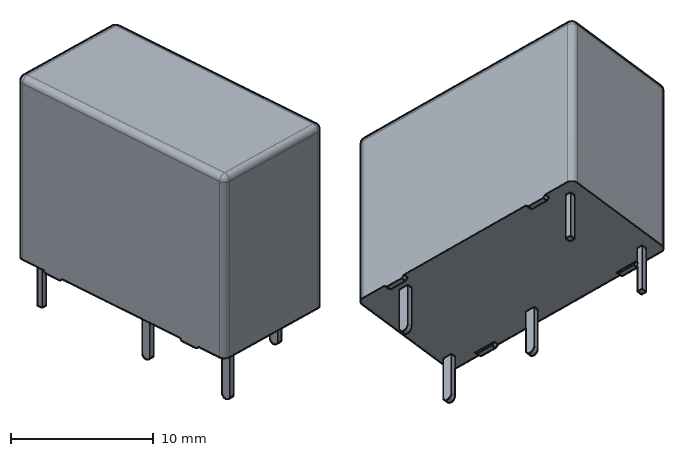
import cadquery as cq

HOUSING_LENGTH = 20.0
HOUSING_WIDTH = 10.01
HOUSING_HEIGHT = 15.0
EDGE_RADIUS = 0.5

FOOT_OFFSET = 6.58
FOOT_BOTTOM_LENGTH = 1.4
FOOT_HEIGHT = 0.2
FOOT_TOP_LENGTH = FOOT_BOTTOM_LENGTH + 2 * FOOT_HEIGHT
FOOT_THICKNESS = 0.4

PIN_LENGTH = 4.0
PIN_ROW_SPACING = 7.62
PIN_EMBED = 0.5
COIL_PIN_SIDE = 0.45
BLADE_THICKNESS = 0.4
BLADE_WIDTH = 0.77
BLADE_TIP_RADIUS = BLADE_WIDTH / 2

FRONT_ROW = -PIN_ROW_SPACING / 2
BACK_ROW = PIN_ROW_SPACING / 2
COIL_PIN_X = -8.75
CONTACT_PINS = [(1.48, FRONT_ROW), (FOOT_OFFSET, BACK_ROW), (9.18, FRONT_ROW)]


def make_housing():
    """Box with rounded vertical and top edges and a sharp bottom edge."""
    box = cq.Workplane("XY").box(
        HOUSING_LENGTH, HOUSING_WIDTH, HOUSING_HEIGHT, centered=(True, True, False)
    )
    return box.edges("|Z or >Z").fillet(EDGE_RADIUS)


def make_foot(x, side):
    """Tapered foot flush with the long wall on the given side (-1 or +1 in Y)."""
    y = side * (HOUSING_WIDTH - FOOT_THICKNESS) / 2
    outline = [
        (x - FOOT_TOP_LENGTH / 2, 0),
        (x - FOOT_BOTTOM_LENGTH / 2, -FOOT_HEIGHT),
        (x + FOOT_BOTTOM_LENGTH / 2, -FOOT_HEIGHT),
        (x + FOOT_TOP_LENGTH / 2, 0),
    ]
    foot = cq.Workplane("XZ").polyline(outline).close().extrude(FOOT_THICKNESS / 2, both=True)
    return foot.translate((0, y, 0))


def make_coil_pin(y):
    """Square pin with a flat end."""
    pin = cq.Workplane("XY").box(
        COIL_PIN_SIDE, COIL_PIN_SIDE, PIN_LENGTH + PIN_EMBED, centered=(True, True, False)
    )
    return pin.translate((COIL_PIN_X, y, -PIN_LENGTH))


def make_contact_pin(x, y):
    """Flat blade with a fully rounded tip."""
    tip_start = BLADE_TIP_RADIUS - PIN_LENGTH
    blade = (
        cq.Workplane("XZ")
        .moveTo(-BLADE_WIDTH / 2, PIN_EMBED)
        .lineTo(-BLADE_WIDTH / 2, tip_start)
        .threePointArc((0, -PIN_LENGTH), (BLADE_WIDTH / 2, tip_start))
        .lineTo(BLADE_WIDTH / 2, PIN_EMBED)
        .close()
        .extrude(BLADE_THICKNESS / 2, both=True)
    )
    return blade.translate((x, y, 0))


result = make_housing()

for foot_x in (-FOOT_OFFSET, FOOT_OFFSET):
    for wall_side in (-1, 1):
        result = result.union(make_foot(foot_x, wall_side))

for row_y in (FRONT_ROW, BACK_ROW):
    result = result.union(make_coil_pin(row_y))

for pin_x, pin_y in CONTACT_PINS:
    result = result.union(make_contact_pin(pin_x, pin_y))